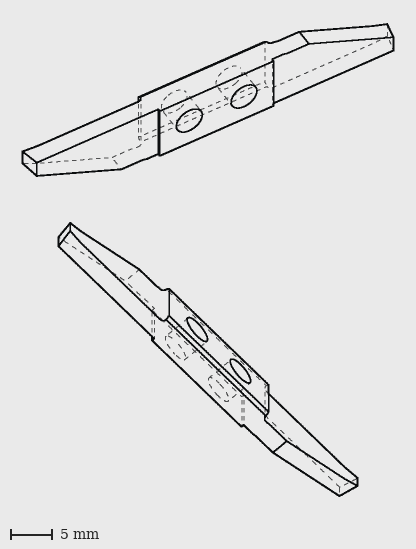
import cadquery as cq

length = 50.5
thickness = 3.6
height = 8.0

blade_front_depth = 0.95
blade_back_depth = 3.25
tip_front_depth = 0.8
front_pad_length = 17.5
back_pad_length = 15.75
tip_flare_length = 2.05
tip_end_setback = 0.55
root_fillet = 0.5

tip_height = 2.1
taper_start = 13.0
edge_drop = 0.15
ramp_start = 9.5
ramp_end = 10.0

pad_chamfer = 0.45
hole_diameter = 3.6
hole_spacing = 7.6

half_length = length / 2
half_height = height / 2
front_x = -thickness / 2
back_x = thickness / 2
blade_front_x = front_x + blade_front_depth
blade_back_x = front_x + blade_back_depth
tip_front_x = front_x + tip_front_depth


def plan_body():
    """Full-height bar with pads, thinner blades and flared, angled tips."""
    half_outline = [
        (front_x, front_pad_length / 2),
        (blade_front_x, front_pad_length / 2),
        (blade_front_x, half_length - tip_flare_length),
        (tip_front_x, half_length),
        (blade_back_x, half_length - tip_end_setback),
        (blade_back_x, back_pad_length / 2),
        (back_x, back_pad_length / 2),
    ]
    mirrored_half = [(x, -y) for x, y in reversed(half_outline)]
    body = (
        cq.Workplane("XY")
        .workplane(offset=-half_height)
        .polyline(half_outline + mirrored_half)
        .close()
        .extrude(height)
    )
    for side in (-1, 1):
        root = cq.selectors.NearestToPointSelector((blade_front_x, side * front_pad_length / 2, 0))
        body = body.edges("|Z").edges(root).fillet(root_fillet)
    return body


def side_envelope():
    """Side outline, unchanged by a half turn about the X axis."""
    half_outline = [
        (ramp_start, half_height),
        (ramp_end, half_height - edge_drop),
        (taper_start, half_height - edge_drop),
        (half_length, tip_height - half_height),
        (half_length, -half_height),
    ]
    turned_half = [(-y, -z) for y, z in half_outline]
    return (
        cq.Workplane("YZ")
        .workplane(offset=front_x)
        .polyline(half_outline + turned_half)
        .close()
        .extrude(thickness)
    )


def chamfer_pad(body):
    """Bevel the two long edges of the front pad."""
    return body.faces("<X").edges("|Y").chamfer(pad_chamfer)


def through_holes():
    """Pair of holes running through the thickness."""
    return (
        cq.Workplane("YZ")
        .workplane(offset=front_x)
        .pushPoints([(-hole_spacing / 2, 0), (hole_spacing / 2, 0)])
        .circle(hole_diameter / 2)
        .extrude(thickness)
    )


result = chamfer_pad(plan_body().intersect(side_envelope())).cut(through_holes())